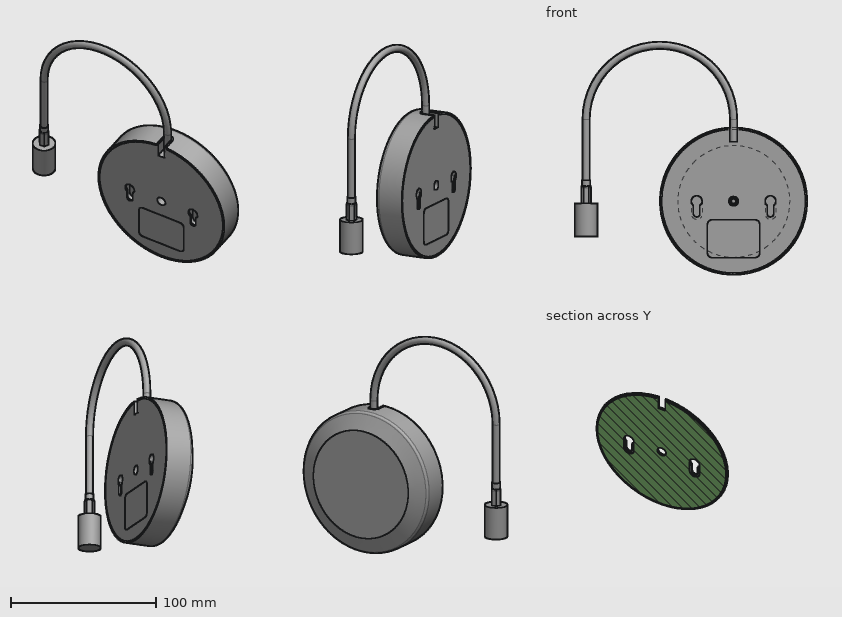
import cadquery as cq
import math

HOUSING_RADIUS = 50.8
HOUSING_DEPTH = 25.4
FACE_RADIUS = 38.5
BEVEL_DEPTH = 6.0
SHOULDER_FILLET = 2.4

COVER_RADIUS = 49.5
COVER_DEPTH = 16.0

CABLE_RADIUS = 2.5
ENTRY_Y = 8.4
ENTRY_FLOOR_Z = 40.8
COLLAR_RADIUS = 3.9
COLLAR_BASE_Z = 45.0

PROBE_X = -101.5
PROBE_Y = 12.0
OVERALL_HEIGHT = 160.6
CABLE_TOP_Z = OVERALL_HEIGHT - HOUSING_RADIUS

PROBE_RADIUS = 7.9
PROBE_TOP_Z = -1.6
PROBE_LENGTH = 22.8
NECK_RADIUS = 3.5
NECK_SIDES = 6
NECK_TURN = 4.0
NECK_TOP_Z = 10.5
NECK_CHAMFER_HEIGHT = 1.3
NECK_CHAMFER_INSET = 0.3
FERRULE_RADIUS = 2.9
FERRULE_TOP_Z = 14.5

KEYHOLE_X = 25.4
KEYHOLE_HEAD_RADIUS = 3.7
KEYHOLE_SLOT_RADIUS = 2.2
KEYHOLE_SLOT_END_Z = -8.7
KEYHOLE_LIP = 1.3
KEYHOLE_DEPTH = 6.0

CENTRE_STEPS = [(3.2, 9.6), (2.5, 11.2), (1.6, 12.9)]

LABEL_WIDTH = 36.0
LABEL_HEIGHT = 26.0
LABEL_CENTRE_Z = -25.9
LABEL_CORNER = 3.2
LABEL_DEPTH = 0.2


def back_plane(y=0.0):
    """XZ workplane at depth y, facing -Y; a negative extrusion runs into the body, towards +Y."""
    return cq.Workplane(cq.Plane(origin=(0, y, 0), xDir=(1, 0, 0), normal=(0, -1, 0)))


def disc(radius, depth):
    """Disc on the part axis with its back face at Y = 0."""
    return back_plane().circle(radius).extrude(-depth)


def entry_channel(radius, floor_z):
    """Vertical channel, open at the back, with a round bottom centred on the cable."""
    height = HOUSING_RADIUS - floor_z
    return (
        cq.Workplane("XY", origin=(0, 0, floor_z))
        .moveTo(-radius, 0)
        .lineTo(-radius, ENTRY_Y)
        .threePointArc((0, ENTRY_Y + radius), (radius, ENTRY_Y))
        .lineTo(radius, 0)
        .close()
        .extrude(height)
    )


def cover_blank():
    """Cover disc with the collar that reaches out through the housing wall."""
    collar = entry_channel(COLLAR_RADIUS, COLLAR_BASE_Z).intersect(disc(HOUSING_RADIUS, HOUSING_DEPTH))
    return disc(COVER_RADIUS, COVER_DEPTH).union(collar)


def keyhole(x):
    """Keyhole opening through the lip, widened behind it to the head width."""
    slot_length = -KEYHOLE_SLOT_END_Z

    def slot(radius, depth, y):
        run = back_plane(y).center(x, -slot_length / 2).rect(2 * radius, slot_length).extrude(-depth)
        end = back_plane(y).center(x, -slot_length).circle(radius).extrude(-depth)
        return run.union(end)

    head = back_plane().center(x, 0).circle(KEYHOLE_HEAD_RADIUS).extrude(-KEYHOLE_DEPTH)
    opening = slot(KEYHOLE_SLOT_RADIUS, KEYHOLE_LIP, 0)
    undercut = slot(KEYHOLE_HEAD_RADIUS, KEYHOLE_DEPTH - KEYHOLE_LIP, KEYHOLE_LIP)
    return head.union(opening).union(undercut)


def label_recess():
    """Shallow rounded rectangle for the label."""
    return (
        back_plane()
        .center(0, LABEL_CENTRE_Z)
        .rect(LABEL_WIDTH, LABEL_HEIGHT)
        .extrude(-LABEL_DEPTH)
        .edges("|Y")
        .fillet(LABEL_CORNER)
    )


def make_housing():
    """Bevelled round housing with a recess that matches the cover."""
    shoulder_y = HOUSING_DEPTH - BEVEL_DEPTH
    body = (
        cq.Workplane("XY")
        .polyline([
            (0, 0),
            (HOUSING_RADIUS, 0),
            (HOUSING_RADIUS, shoulder_y),
            (FACE_RADIUS, HOUSING_DEPTH),
            (0, HOUSING_DEPTH),
        ])
        .close()
        .revolve(360, (0, 0, 0), (0, 1, 0))
    )
    shoulder = cq.NearestToPointSelector((0, shoulder_y, 0))
    return body.edges("%CIRCLE").edges(shoulder).fillet(SHOULDER_FILLET).cut(cover_blank())


def make_cover():
    """Back cover with cable entry, keyholes, centre hole and label recess."""
    cover = cover_blank().cut(entry_channel(CABLE_RADIUS, ENTRY_FLOOR_Z))
    for x in (-KEYHOLE_X, KEYHOLE_X):
        cover = cover.cut(keyhole(x))
    for radius, depth in CENTRE_STEPS:
        cover = cover.cut(disc(radius, depth))
    return cover.cut(label_recess())


def make_cable():
    """Cable swept along its path, with ferrule, neck and probe on its free end."""
    arch_radius = math.hypot(PROBE_X, PROBE_Y - ENTRY_Y) / 2
    arch_base_z = CABLE_TOP_Z - CABLE_RADIUS - arch_radius
    arch_start = cq.Vector(0, ENTRY_Y, arch_base_z)
    arch_top = cq.Vector(PROBE_X / 2, (ENTRY_Y + PROBE_Y) / 2, arch_base_z + arch_radius)
    arch_end = cq.Vector(PROBE_X, PROBE_Y, arch_base_z)
    path = cq.Wire.assembleEdges([
        cq.Edge.makeLine(cq.Vector(0, ENTRY_Y, ENTRY_FLOOR_Z), arch_start),
        cq.Edge.makeThreePointArc(arch_start, arch_top, arch_end),
        cq.Edge.makeLine(arch_end, cq.Vector(PROBE_X, PROBE_Y, FERRULE_TOP_Z)),
    ])
    cord = cq.Workplane("XY", origin=(0, ENTRY_Y, ENTRY_FLOOR_Z)).circle(CABLE_RADIUS).sweep(path)

    def upright(z):
        return cq.Workplane("XY", origin=(PROBE_X, PROBE_Y, z))

    neck_height = NECK_TOP_Z - PROBE_TOP_Z
    ferrule = upright(PROBE_TOP_Z).circle(FERRULE_RADIUS).extrude(FERRULE_TOP_Z - PROBE_TOP_Z)
    neck = (
        cq.Workplane("XY")
        .polygon(NECK_SIDES, 2 * NECK_RADIUS)
        .extrude(neck_height)
        .faces(">Z")
        .chamfer(NECK_CHAMFER_HEIGHT, NECK_CHAMFER_INSET)
        .rotate((0, 0, 0), (0, 0, 1), NECK_TURN)
        .translate((PROBE_X, PROBE_Y, PROBE_TOP_Z))
    )
    probe = upright(PROBE_TOP_Z).circle(PROBE_RADIUS).extrude(-PROBE_LENGTH)
    return cord.union(ferrule).union(neck).union(probe)


housing = make_housing()
cover = make_cover()
cable = make_cable()

result = cq.Compound.makeCompound([housing.val(), cover.val(), cable.val()])